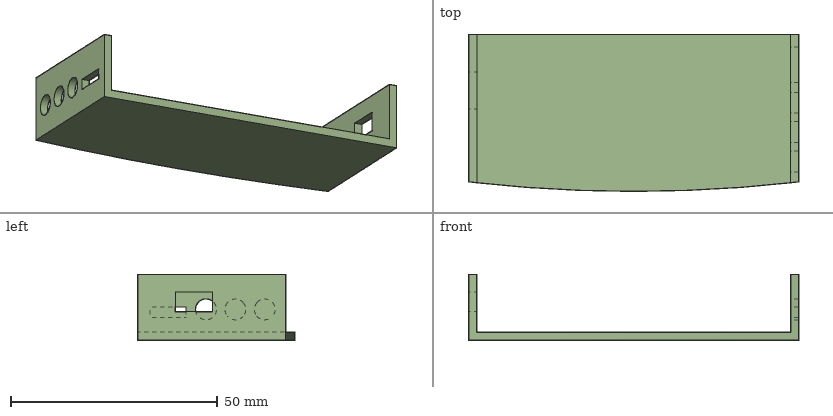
import cadquery as cq

length = 80.0
depth = 38.1
height = 16.0
thickness = 2.0
front_bulge = 2.3

window_offset = 9.1
window_width = 9.0
window_bottom = 7.0
window_height = 4.7

slot_offset = 3.0
slot_width = 8.6
slot_bottom = 5.5
slot_height = 2.6
hole_diameter = 5.0
hole_count = 3
hole_spacing = 7.1
first_hole_offset = 16.6
hole_height = 7.5

corner_y = -(depth - front_bulge)
right_wall_x = length - thickness


def bowed_block():
    """Full-height block with a flat back and an arc-shaped front."""
    return (
        cq.Workplane("XY")
        .lineTo(length, 0)
        .lineTo(length, corner_y)
        .threePointArc((length / 2, -depth), (0, corner_y))
        .close()
        .extrude(height)
    )


def channel_space():
    """Open space above the floor and between the end walls."""
    return cq.Workplane("XY").box(
        length - 2 * thickness, depth, height - thickness, centered=False
    ).translate((thickness, -depth, thickness))


def wall_opening(wall_x, offset, width, bottom, opening_height):
    """Rectangular cutter through the wall that starts at wall_x."""
    return cq.Workplane("XY").box(
        thickness, width, opening_height, centered=False
    ).translate((wall_x, -offset - width, bottom))


def round_holes():
    """Evenly spaced cylindrical cutters through the right wall."""
    centers = [
        (-first_hole_offset - i * hole_spacing, hole_height)
        for i in range(hole_count)
    ]
    return (
        cq.Workplane("YZ", origin=(right_wall_x, 0, 0))
        .pushPoints(centers)
        .circle(hole_diameter / 2)
        .extrude(thickness)
    )


result = (
    bowed_block()
    .cut(channel_space())
    .cut(wall_opening(0, window_offset, window_width, window_bottom, window_height))
    .cut(wall_opening(right_wall_x, slot_offset, slot_width, slot_bottom, slot_height))
    .cut(round_holes())
)